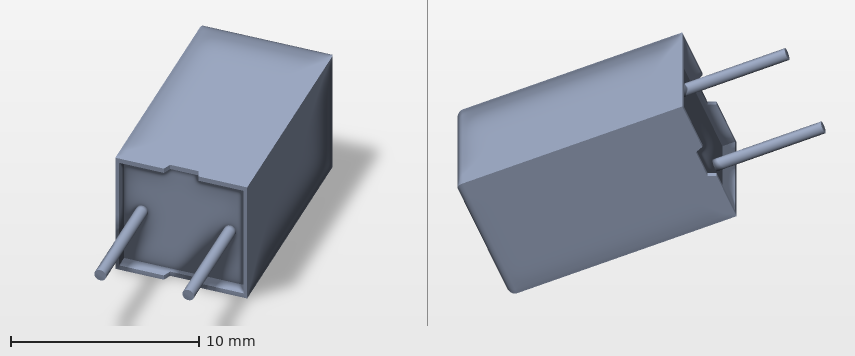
import cadquery as cq

total_length = 18.6
case_width = 7.5
case_height = 7.3

lead_diameter = 0.67
lead_spacing = 5.0
lead_projection = 5.5

case_length = total_length - lead_projection
side_wall = 0.22
top_wall = 0.28
back_wall = top_wall
back_edge_radius = 0.46

notch_rim_width = 1.97
notch_floor_width = 1.6
notch_depth = 0.45

fill_recess = 0.73
fill_length = case_length - back_wall - fill_recess
cavity_width = case_width - 2 * side_wall
cavity_height = case_height - 2 * top_wall


def block_from(front_y, width, length, height):
    """Block centred in X and Z that runs toward +Y from front_y."""
    return cq.Workplane("XY").box(width, length, height).translate((0, front_y + length / 2, 0))


def make_case():
    """Box open toward -Y, with the open rim at Y = 0."""
    shell = block_from(0, case_width, case_length, case_height)
    shell = shell.faces(">Y").edges().fillet(back_edge_radius)
    cavity = block_from(0, cavity_width, case_length - back_wall, cavity_height)
    notch = (
        cq.Workplane("XY")
        .polyline([
            (-notch_rim_width / 2, 0),
            (-notch_floor_width / 2, notch_depth),
            (notch_floor_width / 2, notch_depth),
            (notch_rim_width / 2, 0),
        ])
        .close()
        .extrude(case_height / 2, both=True)
    )
    return shell.cut(cavity).cut(notch)


def make_filling():
    """Solid filling between the recessed front face and the back wall."""
    return block_from(fill_recess, cavity_width, fill_length, cavity_height)


def make_lead(center_x):
    """Straight round lead that stands on the front face of the filling."""
    return (
        cq.Workplane("XZ", origin=(center_x, fill_recess, 0))
        .circle(lead_diameter / 2)
        .extrude(fill_recess + lead_projection)
    )


case = make_case()
filling = make_filling()
leads = [make_lead(side * lead_spacing / 2) for side in (-1, 1)]

result = cq.Compound.makeCompound([
    case.val(),
    filling.val(),
    *[lead.val() for lead in leads],
])